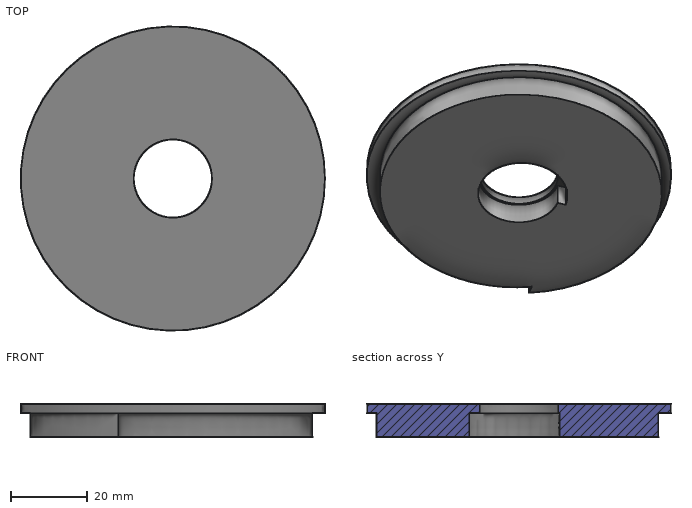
import cadquery as cq
import math

flange_diameter = 80.0
flange_thickness = 2.4
flange_bore_diameter = 20.5

hub_height = 6.3
spiral_rise = 2.2
half_turn = 180.0
quarter_turn = half_turn / 2
spiral_segments = 12

rim_radius = 37.5
rim_spiral_start = 246.0

bore_radius = 10.7
bore_spiral_start = 0.0


def polar_point(radius, angle):
    radians = math.radians(angle)
    return (radius * math.cos(radians), radius * math.sin(radians))


def half_turn_spiral(start_radius, start_angle):
    """Counterclockwise spiral whose radius grows evenly over half a turn."""
    points = []
    for i in range(spiral_segments + 1):
        fraction = i / spiral_segments
        radius = start_radius + spiral_rise * fraction
        points.append(polar_point(radius, start_angle + half_turn * fraction))
    return cq.Workplane("XY").spline(points)


def make_rim():
    """Solid hub whose step face is parallel to the YZ plane."""
    start_radius = rim_radius - spiral_rise
    step_x = polar_point(start_radius, rim_spiral_start)[0]
    step_top_y = -math.sqrt(rim_radius**2 - step_x**2)
    spiral_end = rim_spiral_start + half_turn
    return (
        half_turn_spiral(start_radius, rim_spiral_start)
        .threePointArc(
            polar_point(rim_radius, spiral_end + quarter_turn),
            (step_x, step_top_y),
        )
        .close()
        .extrude(hub_height)
    )


def make_bore():
    """Cutter for the hub bore, with a radial step face."""
    spiral_end = bore_spiral_start + half_turn
    return (
        half_turn_spiral(bore_radius, bore_spiral_start)
        .lineTo(*polar_point(bore_radius, spiral_end))
        .threePointArc(
            polar_point(bore_radius, spiral_end + quarter_turn),
            polar_point(bore_radius, bore_spiral_start),
        )
        .wire()
        .extrude(hub_height)
    )


def make_flange():
    return (
        cq.Workplane("XY")
        .workplane(offset=hub_height)
        .circle(flange_diameter / 2)
        .circle(flange_bore_diameter / 2)
        .extrude(flange_thickness)
    )


hub = make_rim().cut(make_bore())
result = hub.union(make_flange())